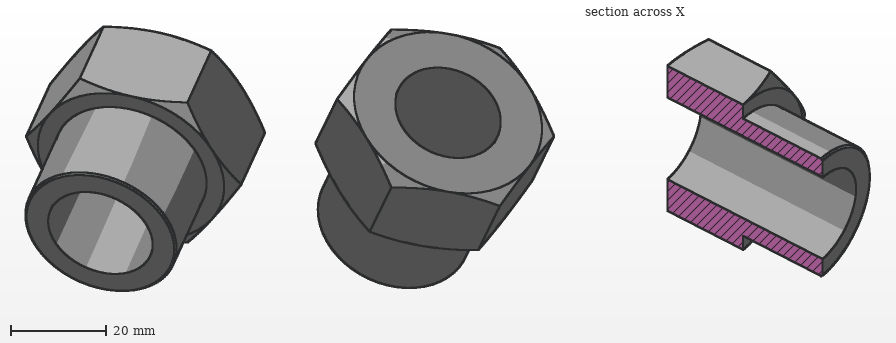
import cadquery as cq
import math

hex_sides = 6
across_flats = 41.0
hex_length = 20.0
total_length = 41.0
spigot_diameter = 33.3
bore_diameter = 23.0
spigot_chamfer = 0.4
hex_chamfer_angle = 30.0

across_corners = across_flats / math.cos(math.pi / hex_sides)
flat_radius = across_flats / 2
corner_radius = across_corners / 2
corner_drop = (corner_radius - flat_radius) * math.tan(math.radians(hex_chamfer_angle))

hex_start = total_length - hex_length


def cylinder_along_y(diameter, length):
    """Cylinder from Y = 0 towards +Y."""
    return cq.Workplane("XZ").circle(diameter / 2).extrude(-length)


def chamfered_hexagon():
    """Hexagon with corners on X, its corners cut by a cone at both ends."""
    prism = (
        cq.Workplane("XZ", origin=(0, hex_start, 0))
        .polygon(hex_sides, across_corners)
        .extrude(-hex_length)
    )
    envelope = (
        cq.Workplane("XY")
        .moveTo(0, hex_start)
        .lineTo(flat_radius, hex_start)
        .lineTo(corner_radius, hex_start + corner_drop)
        .lineTo(corner_radius, total_length - corner_drop)
        .lineTo(flat_radius, total_length)
        .lineTo(0, total_length)
        .close()
        .revolve(360, (0, 0, 0), (0, 1, 0))
    )
    return prism.intersect(envelope)


def spigot():
    """Plain round end with a small chamfer on its free rim."""
    body = cylinder_along_y(spigot_diameter, total_length)
    return body.faces("<Y").chamfer(spigot_chamfer)


bore = cylinder_along_y(bore_diameter, total_length)
result = chamfered_hexagon().union(spigot()).cut(bore)